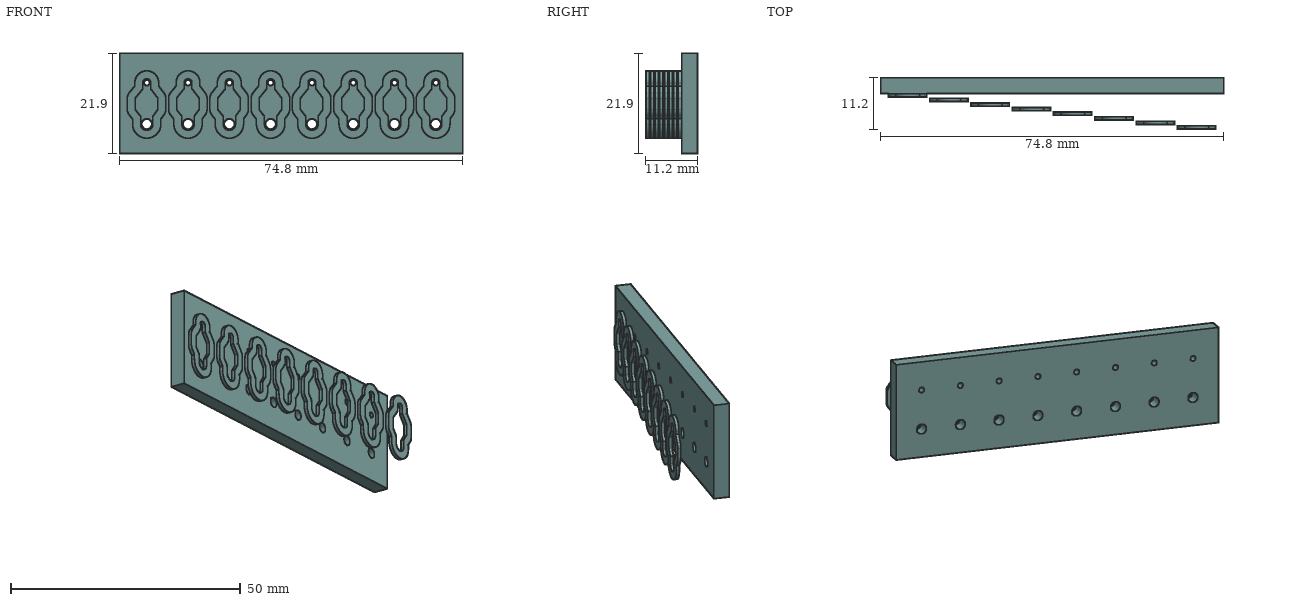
import cadquery as cq

ring_count = 8
ring_pitch = 9.0
ring_thickness = 0.75
ring_gap = 0.25
ring_step = ring_thickness + ring_gap

plate_length = 74.8
plate_thickness = 3.5
plate_height = 21.9

small_hole_diameter = 1.2
large_hole_diameter = 2.2
hole_spacing = 9.0
small_hole_z = hole_spacing / 2
large_hole_z = -hole_spacing / 2

small_radius = small_hole_diameter / 2
large_radius = large_hole_diameter / 2
waist_width = 4.4
waist_height = 2.35
waist_center_x = -0.05
waist_center_z = -0.1
upper_shoulder_z = 3.1
lower_shoulder_z = -2.725
opening_offset = 0.25
outside_offset = 2.0

ring_xs = [(i - (ring_count - 1) / 2) * ring_pitch for i in range(ring_count)]


def core_outline(plane_y):
    """Closed core outline in a plane facing -Y."""
    waist_left_x = waist_center_x - waist_width / 2
    waist_right_x = waist_center_x + waist_width / 2
    waist_top_z = waist_center_z + waist_height / 2
    waist_bottom_z = waist_center_z - waist_height / 2
    return (
        cq.Workplane("XZ", origin=(0, plane_y, 0))
        .moveTo(small_radius, small_hole_z)
        .threePointArc((0, small_hole_z + small_radius), (-small_radius, small_hole_z))
        .lineTo(-small_radius, upper_shoulder_z)
        .lineTo(waist_left_x, waist_top_z)
        .lineTo(waist_left_x, waist_bottom_z)
        .lineTo(-large_radius, lower_shoulder_z)
        .lineTo(-large_radius, large_hole_z)
        .threePointArc((0, large_hole_z - large_radius), (large_radius, large_hole_z))
        .lineTo(large_radius, lower_shoulder_z)
        .lineTo(waist_right_x, waist_bottom_z)
        .lineTo(waist_right_x, waist_top_z)
        .lineTo(small_radius, upper_shoulder_z)
        .close()
    )


def make_plate():
    """Plate with its front face at Y = 0 and a pair of through holes behind each ring."""
    plate = cq.Workplane("XY").box(plate_length, plate_thickness, plate_height)
    plate = plate.translate((0, plate_thickness / 2, 0))
    for diameter, z in ((small_hole_diameter, small_hole_z), (large_hole_diameter, large_hole_z)):
        holes = (
            cq.Workplane("XZ")
            .pushPoints([(x, z) for x in ring_xs])
            .circle(diameter / 2)
            .extrude(-plate_thickness)
        )
        plate = plate.cut(holes)
    return plate


def make_ring(x, back_y):
    """Flat ring whose opening and outside both follow the core outline at a constant distance."""
    outside = core_outline(back_y).offset2D(outside_offset).extrude(ring_thickness)
    opening = core_outline(back_y).offset2D(opening_offset).extrude(ring_thickness)
    return outside.cut(opening).translate((x, 0, 0))


plate = make_plate()
rings = [make_ring(x, -i * ring_step) for i, x in enumerate(ring_xs)]

result = cq.Compound.makeCompound([plate.val(), *[ring.val() for ring in rings]])